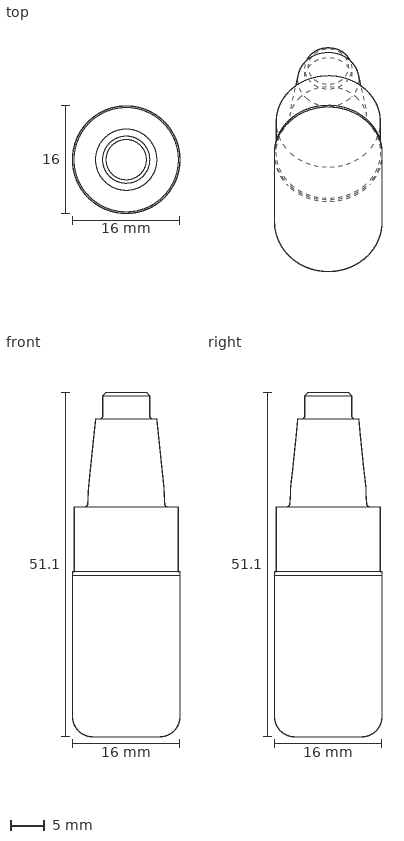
import cadquery as cq
import math

barrel_radius = 16.0 / 2
barrel_height = 23.95
bottom_fillet = 3.05

overall_height = 51.1
collar_top = 24.55
shoulder_radius = 15.5 / 2
shoulder_top = 34.15
root_fillet = 0.4
band_bottom_radius = 5.7
band_top = 36.9
band_top_radius = 5.6
taper_top = 47.15
taper_top_radius = 4.55
tip_radius = 7.0 / 2
tip_chamfer = 0.5


def make_barrel():
    """Plain cylinder with a rounded lower rim."""
    body = cq.Workplane("XY").circle(barrel_radius).extrude(barrel_height)
    return body.faces("<Z").edges().fillet(bottom_fillet)


def make_cap():
    """Revolved collar, shoulder, tapered nose and tip, on the flat top of the barrel."""
    band_bottom = shoulder_top + root_fillet
    tip_bottom = taper_top + root_fillet
    mid_inset = root_fillet * (1 - math.sqrt(0.5))
    profile = (
        cq.Workplane("XZ")
        .moveTo(0, barrel_height)
        .lineTo(barrel_radius, barrel_height)
        .lineTo(barrel_radius, collar_top)
        .lineTo(shoulder_radius, collar_top)
        .lineTo(shoulder_radius, shoulder_top)
        .lineTo(band_bottom_radius + root_fillet, shoulder_top)
        .threePointArc(
            (band_bottom_radius + mid_inset, shoulder_top + mid_inset),
            (band_bottom_radius, band_bottom),
        )
        .lineTo(band_top_radius, band_top)
        .lineTo(taper_top_radius, taper_top)
        .lineTo(tip_radius + root_fillet, taper_top)
        .threePointArc(
            (tip_radius + mid_inset, taper_top + mid_inset),
            (tip_radius, tip_bottom),
        )
        .lineTo(tip_radius, overall_height - tip_chamfer)
        .lineTo(tip_radius - tip_chamfer, overall_height)
        .lineTo(0, overall_height)
        .close()
    )
    return profile.revolve(360, (0, 0, 0), (0, 1, 0))


barrel = make_barrel()
cap = make_cap()

result = cq.Compound.makeCompound([barrel.val(), cap.val()])